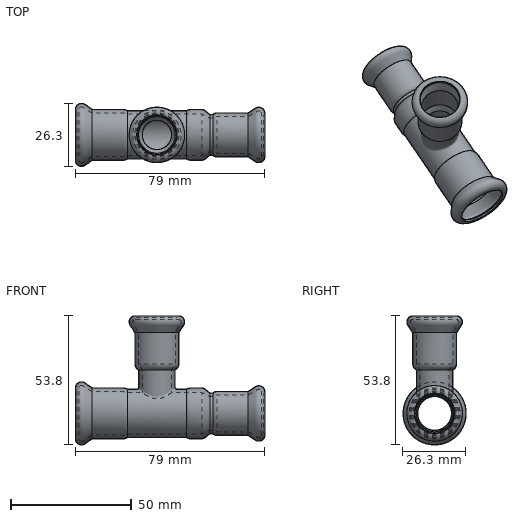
import cadquery as cq
import math

run_length = 79.0
branch_x = 34.0
overall_height = 53.8
wall = 1.5

large_socket_radius = 10.6
small_socket_radius = 9.2
body_radius = 10.1
neck_radius = 8.5
branch_tube_radius = 7.6
branch_fillet = 0.8

bead_radius = 2.6
large_bead_outer_radius = 26.3 / 2
small_bead_outer_radius = 23.15 / 2
branch_top = overall_height - large_bead_outer_radius
bead_end_depth = 4.2
bead_cone_end_depth = 7.0
lip_width = 0.55
lip_taper = 0.2
lip_depth = 0.7

shoulder_depth = 20.1
large_shoulder_length = 1.6
branch_shoulder_length = 2.45

body_end = 46.4
collar_start = 47.95
collar_end = 52.8
reducer_round_end = 54.1
reducer_round_radius = 10.0
neck_start = 56.0
neck_end = 57.35


def shoulder_midpoint(start_depth, start_radius, length, end_radius):
    """Middle of an arc that leaves the start cylinder tangentially."""
    drop = start_radius - end_radius
    arc_radius = (length**2 + drop**2) / (2 * drop)
    half_angle = math.asin(length / arc_radius) / 2
    return (
        start_depth + arc_radius * math.sin(half_angle),
        start_radius - arc_radius * (1 - math.cos(half_angle)),
    )


def revolve_to_axis(profile, end_depth):
    """Close a (depth, radius) profile to the X axis and revolve it."""
    return profile.lineTo(end_depth, 0).close().revolve(360, (0, 0, 0), (1, 0, 0))


def bead_arc(profile, center_radius, arc_radius):
    """Add the bead arc and return the extended profile."""
    end_angle = math.asin((bead_end_depth - bead_radius) / bead_radius)
    middle_angle = (end_angle - math.pi / 2) / 2

    def arc_point(angle):
        return (
            bead_radius + arc_radius * math.sin(angle),
            center_radius + arc_radius * math.cos(angle),
        )

    return profile.threePointArc(arc_point(middle_angle), arc_point(end_angle))


def socket_outside(socket_radius, bead_outer_radius, tube_radius, shoulder_length, end_depth):
    """Solid envelope of a beaded socket and the tube behind its shoulder."""
    center_radius = bead_outer_radius - bead_radius
    profile = cq.Workplane("XY").lineTo(0, center_radius)
    profile = bead_arc(profile, center_radius, bead_radius)
    profile = profile.lineTo(bead_cone_end_depth, socket_radius).lineTo(shoulder_depth, socket_radius)
    profile = profile.threePointArc(
        shoulder_midpoint(shoulder_depth, socket_radius, shoulder_length, tube_radius),
        (shoulder_depth + shoulder_length, tube_radius),
    )
    return revolve_to_axis(profile.lineTo(end_depth, tube_radius), end_depth)


def socket_bore(socket_radius, bead_outer_radius, tube_radius, shoulder_length, end_depth):
    """Tapered lip, hollow bead, socket bore and narrower tube bore."""
    center_radius = bead_outer_radius - bead_radius
    lip_radius = center_radius - lip_width
    bore_radius = socket_radius - wall
    tube_bore_radius = tube_radius - wall
    profile = cq.Workplane("XY").lineTo(0, lip_radius).lineTo(lip_depth, lip_radius - lip_taper)
    profile = profile.lineTo(wall, center_radius)
    profile = bead_arc(profile, center_radius, bead_radius - wall)
    profile = profile.lineTo(bead_cone_end_depth, bore_radius).lineTo(shoulder_depth, bore_radius)
    profile = profile.lineTo(shoulder_depth + shoulder_length, tube_bore_radius)
    return revolve_to_axis(profile.lineTo(end_depth, tube_bore_radius), end_depth)


def reducer_outside():
    """Collar at the body diameter step and its rounded taper into the neck."""
    round_middle = shoulder_midpoint(
        collar_end, large_socket_radius, reducer_round_end - collar_end, reducer_round_radius
    )
    collar_middle = shoulder_midpoint(
        -collar_start, large_socket_radius, collar_start - body_end, body_radius
    )
    profile = (
        cq.Workplane("XY")
        .moveTo(body_end, 0)
        .lineTo(body_end, body_radius)
        .threePointArc((-collar_middle[0], collar_middle[1]), (collar_start, large_socket_radius))
        .lineTo(collar_end, large_socket_radius)
        .threePointArc(round_middle, (reducer_round_end, reducer_round_radius))
        .lineTo(neck_start, neck_radius)
        .lineTo(neck_end, neck_radius)
    )
    return revolve_to_axis(profile, neck_end)


def reducer_bore():
    """Body bore tapering into the neck bore."""
    profile = (
        cq.Workplane("XY")
        .moveTo(branch_x, 0)
        .lineTo(branch_x, body_radius - wall)
        .lineTo(collar_end, body_radius - wall)
        .lineTo(neck_start, neck_radius - wall)
        .lineTo(neck_end, neck_radius - wall)
    )
    return revolve_to_axis(profile, neck_end)


def place_right(shape):
    """Turn a mouth to face +X at the far end of the run."""
    return shape.rotate((0, 0, 0), (0, 0, 1), 180).translate((run_length, 0, 0))


def place_branch(shape):
    """Turn a mouth to face +Z at the top of the branch."""
    return shape.rotate((0, 0, 0), (0, 1, 0), 90).translate((branch_x, 0, branch_top))


large_sizes = (large_socket_radius, large_bead_outer_radius, body_radius, large_shoulder_length)
small_sizes = (
    small_socket_radius,
    small_bead_outer_radius,
    neck_radius,
    run_length - neck_end - shoulder_depth,
)
branch_sizes = (
    small_socket_radius,
    small_bead_outer_radius,
    branch_tube_radius,
    branch_shoulder_length,
)
small_end_depth = run_length - neck_start

left_outside = socket_outside(*large_sizes, body_end)
branch_outside = place_branch(socket_outside(*branch_sizes, branch_top))
root_box = cq.selectors.BoxSelector(
    (branch_x - body_radius, -body_radius, 0),
    (branch_x + body_radius, body_radius, body_radius + branch_fillet),
)
outside = left_outside.union(branch_outside).edges(root_box).fillet(branch_fillet)
outside = outside.union(reducer_outside()).union(place_right(socket_outside(*small_sizes, small_end_depth)))

bores = socket_bore(*large_sizes, branch_x).union(reducer_bore())
bores = bores.union(place_right(socket_bore(*small_sizes, small_end_depth)))
bores = bores.union(place_branch(socket_bore(*branch_sizes, branch_top)))

result = outside.cut(bores)